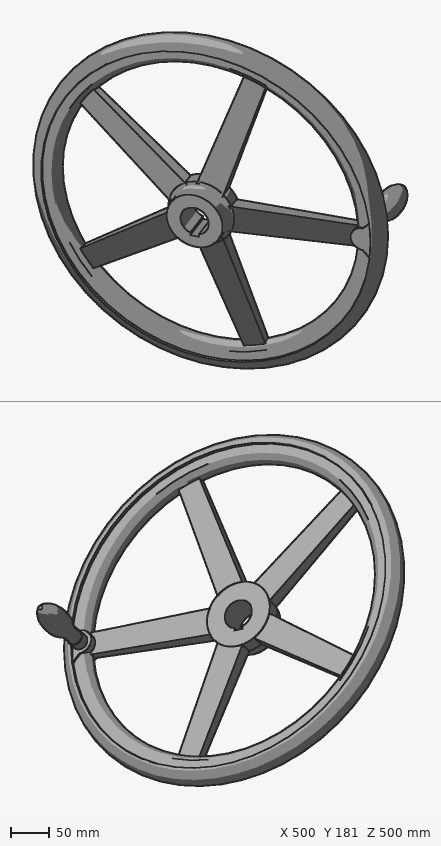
import cadquery as cq
import math

RIM_RADIUS = 250.0
RIM_TUBE_RADIUS = 17.0
RIM_TUBE_CENTER = RIM_RADIUS - RIM_TUBE_RADIUS
RIM_INNER_RADIUS = 210.0
RIM_FLAT_RADIUS = 220.0
RIM_STEP = 4.5
RIM_FLAT_Y = RIM_TUBE_RADIUS - RIM_STEP

HUB_NOSE_RADIUS = 39.5
HUB_RADIUS = 46.5
HUB_FRONT_Y = -55.5
HUB_SHOULDER_Y = -32.5
HUB_FILLET = HUB_RADIUS - HUB_NOSE_RADIUS
HUB_BACK_Y = -11.5
BORE_RADIUS = 20.0
KEY_WIDTH = 12.0
KEY_DEPTH = 23.0

SPOKE_COUNT = 5
SPOKE_START = 30.0
SPOKE_END = 217.5
SPOKE_HALF_WIDTH_START = 19.5
SPOKE_HALF_WIDTH_END = 16.0
SPOKE_FRONT_START = -34.5
SPOKE_FRONT_END = -7.5
SPOKE_BACK_START = -14.0
SPOKE_BACK_END = 4.5

HANDLE_X = 220.5
PAD_RADIUS = 16.5
PAD_HALF_THICKNESS = 14.5
PAD_FLARE_X = 232.0
PAD_FLARE_HALF_WIDTH = 29.5
PAD_FLARE_SAG = 0.55
COLLAR_RADIUS = 11.0
COLLAR_END_Y = 29.0
NECK_RADIUS = 10.0
NECK_Y = 45.0
GRIP_START_RADIUS = 13.0
GRIP_START_Y = 57.0
GRIP_RADIUS = 18.0
GRIP_WIDEST_Y = 84.5
TIP_RADIUS = 3.0
TIP_Y = 125.5


def revolve_about_y(profile, x=0):
    return profile.close().revolve(360, (0, 0, 0), (0, 1, 0)).translate((x, 0, 0))


def make_rim():
    """Round outer tube with recessed flat faces and a rounded inner edge."""
    profile = (
        cq.Workplane("XY")
        .moveTo(RIM_TUBE_CENTER, -RIM_TUBE_RADIUS)
        .threePointArc((RIM_RADIUS, 0), (RIM_TUBE_CENTER, RIM_TUBE_RADIUS))
        .lineTo(RIM_TUBE_CENTER, RIM_FLAT_Y)
        .lineTo(RIM_FLAT_RADIUS, RIM_FLAT_Y)
        .threePointArc((RIM_INNER_RADIUS, 0), (RIM_FLAT_RADIUS, -RIM_FLAT_Y))
        .lineTo(RIM_TUBE_CENTER, -RIM_FLAT_Y)
    )
    return revolve_about_y(profile)


def make_hub():
    """Hub body with a concave fillet down to the narrower nose."""
    fillet_mid = HUB_FILLET * (1 - math.sqrt(0.5))
    profile = (
        cq.Workplane("XY")
        .moveTo(0, HUB_FRONT_Y)
        .lineTo(HUB_NOSE_RADIUS, HUB_FRONT_Y)
        .lineTo(HUB_NOSE_RADIUS, HUB_SHOULDER_Y - HUB_FILLET)
        .threePointArc(
            (HUB_NOSE_RADIUS + fillet_mid, HUB_SHOULDER_Y - fillet_mid),
            (HUB_RADIUS, HUB_SHOULDER_Y),
        )
        .lineTo(HUB_RADIUS, HUB_BACK_Y)
        .lineTo(0, HUB_BACK_Y)
    )
    return revolve_about_y(profile)


def make_spoke():
    """Spoke along +X, tapered in width and sloping back from the hub to the rim."""
    side = (
        cq.Workplane("XY")
        .polyline([
            (SPOKE_START, SPOKE_FRONT_START),
            (SPOKE_END, SPOKE_FRONT_END),
            (SPOKE_END, SPOKE_BACK_END),
            (SPOKE_START, SPOKE_BACK_START),
        ])
        .close()
        .extrude(SPOKE_HALF_WIDTH_START, both=True)
    )
    face = (
        cq.Workplane("XZ")
        .polyline([
            (SPOKE_START, -SPOKE_HALF_WIDTH_START),
            (SPOKE_END, -SPOKE_HALF_WIDTH_END),
            (SPOKE_END, SPOKE_HALF_WIDTH_END),
            (SPOKE_START, SPOKE_HALF_WIDTH_START),
        ])
        .close()
        .extrude(RIM_RADIUS, both=True)
    )
    return side.intersect(face)


def make_handle_pad():
    """Flat pad across the rim: round toward the hub, flared into the rim tube."""
    flare_width = PAD_FLARE_HALF_WIDTH - PAD_RADIUS
    flare_length = PAD_FLARE_X - HANDLE_X
    flare_mid_x = HANDLE_X + flare_length * PAD_FLARE_SAG
    flare_mid_z = PAD_RADIUS + flare_width * (1 - PAD_FLARE_SAG)
    return (
        cq.Workplane("XZ")
        .moveTo(PAD_FLARE_X, PAD_FLARE_HALF_WIDTH)
        .threePointArc((flare_mid_x, flare_mid_z), (HANDLE_X, PAD_RADIUS))
        .threePointArc((HANDLE_X - PAD_RADIUS, 0), (HANDLE_X, -PAD_RADIUS))
        .threePointArc((flare_mid_x, -flare_mid_z), (PAD_FLARE_X, -PAD_FLARE_HALF_WIDTH))
        .close()
        .extrude(PAD_HALF_THICKNESS, both=True)
    )


def make_handle():
    """Collar, waisted neck and egg-shaped grip on the +Y side of the pad."""
    profile = (
        cq.Workplane("XY")
        .lineTo(COLLAR_RADIUS, 0)
        .lineTo(COLLAR_RADIUS, COLLAR_END_Y)
        .lineTo(NECK_RADIUS, COLLAR_END_Y)
        .spline(
            [(NECK_RADIUS, NECK_Y), (GRIP_START_RADIUS, GRIP_START_Y)],
            tangents=[(0, 1), (1, 2)],
            includeCurrent=True,
        )
        .spline(
            [(GRIP_RADIUS, GRIP_WIDEST_Y), (TIP_RADIUS, TIP_Y)],
            tangents=[(1, 2), (-1, 1)],
            includeCurrent=True,
        )
        .lineTo(0, TIP_Y)
    )
    return revolve_about_y(profile, HANDLE_X)


def make_bore():
    """Through bore with a keyway on the -Z side."""
    bore_length = 2 * abs(HUB_FRONT_Y)
    bore = cq.Workplane("XZ").circle(BORE_RADIUS).extrude(bore_length, both=True)
    key = cq.Workplane("XY").box(KEY_WIDTH, 2 * bore_length, KEY_DEPTH)
    return bore.union(key.translate((0, 0, -KEY_DEPTH / 2)))


wheel = make_rim().union(make_hub())
spoke = make_spoke()
for index in range(SPOKE_COUNT):
    angle = index * 360 / SPOKE_COUNT
    wheel = wheel.union(spoke.rotate((0, 0, 0), (0, 1, 0), angle))

wheel = wheel.union(make_handle_pad()).union(make_handle())
result = wheel.cut(make_bore())